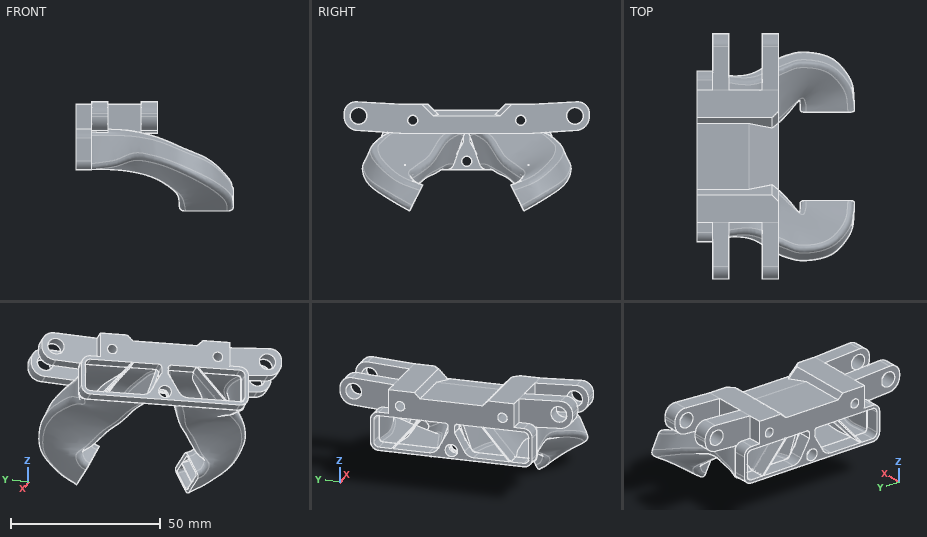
import cadquery as cq
import math

BODY_LENGTH = 27.3
BODY_HALF_WIDTH = 22.1
BODY_TOP = 22.0
BODY_BOTTOM = 12.2
BODY_HOLE_DIAMETER = 3.3
BODY_HOLE_Y = 18.0
BODY_HOLE_Z = 16.6

TROUGH_FLOOR_Z = 20.0
TROUGH_FLOOR_HALF_WIDTH = 11.0
TROUGH_SLOPE_START = 17.4
TROUGH_SLOPE_ANGLE = 11.0
TROUGH_FLARE_START = 25.2

LUG_THICKNESS = 5.5
LUG_STARTS = (5.25, BODY_LENGTH - LUG_THICKNESS)
LUG_HALF_SPAN = 41.0
LUG_TOP = 22.8
LUG_BOTTOM = 13.1
LUG_TOP_RADIUS = 4.0
LUG_BOTTOM_RADIUS = 4.75
LUG_HOLE_DIAMETER = 5.5
LUG_HOLE_Y = 36.2
LUG_HOLE_Z = 18.0

FLANGE_THICKNESS = 5.25
FLANGE_HALF_WIDTH = 28.5
FLANGE_HEIGHT = 13.6
FLANGE_CORNER_RADIUS = 3.0
WALL = 1.2
WINDOW_INNER_Y = 1.15
WINDOW_SLANT_TOP_Z = 9.35
WINDOW_SLANT_BOTTOM_Y = 5.7
WINDOW_SLANT_RADIUS = 3.7
WINDOW_INNER_RADIUS = 1.0
BOLT_Z = 2.9
BOLT_DIAMETER = 3.3
BOLT_COUNTERBORE_DIAMETER = 4.3
BOLT_COUNTERBORE_DEPTH = 4.1

DUCT_SECTIONS = (
    ((5.25, 0.25, 13.5), (5.25, 28.2, 13.5), (5.25, 28.2, 0.1), (5.25, 4.9, 0.1)),
    ((13.1, 2.5, 13.5), (13.1, 26.2, 13.5), (13.1, 27.1, 1.2), (13.1, 7.4, -0.2)),
    ((21.3, 6.6, 10.7), (19.7, 26.2, 13.1), (19.7, 28.7, 3.7), (21.3, 9.8, -1.6)),
    ((27.3, 10.7, 4.1), (27.3, 28.95, 11.5), (27.3, 33.45, 2.6), (27.3, 13.9, -3.8)),
    ((31.2, 14.8, 0.8), (35.3, 31.5, 8.3), (36.1, 35.5, -0.6), (32, 17.6, -7.0)),
    ((33.9, 18, -1.6), (44.8, 29.5, 4.1), (45.5, 33.1, -5.2), (33.9, 21.3, -9.4)),
    ((34.4, 16.8, -3.9), (51.0, 23, -1.6), (51.5, 26.2, -9.7), (34.4, 20.9, -12.3)),
    ((34.5, 14.7, -5.1), (52.7, 14.7, -5.1), (52.7, 19.1, -13.8), (34.5, 19.1, -13.8)),
)
DUCT_CORNER_RADIUS = 2.05
PASSAGE_CORNER_RADIUS = DUCT_CORNER_RADIUS - WALL
STEPS_PER_SECTION = 2

VANE_THICKNESS = 0.6
VANE_TOP_FRACTIONS = (0.35, 0.4, 0.5, 0.5, 0.5, 0.5, 0.5, 0.5)
VANE_BOTTOM_FRACTIONS = (0.72, 0.65, 0.55, 0.5, 0.5, 0.5, 0.5, 0.5)


def extruded_along_x(points, start, length):
    return cq.Workplane("YZ", origin=(start, 0, 0)).polyline(points).close().extrude(length)


def cylinder_along_x(y, z, diameter, length):
    return cq.Workplane("YZ").center(y, z).circle(diameter / 2).extrude(length)


def make_trough():
    slope = math.tan(math.radians(TROUGH_SLOPE_ANGLE))
    floor_end_z = TROUGH_FLOOR_Z - slope * (BODY_LENGTH - TROUGH_SLOPE_START)

    def side_profile(flare):
        half_width_at_top = TROUGH_FLOOR_HALF_WIDTH + BODY_TOP - TROUGH_FLOOR_Z + flare
        half_width_at_depth = half_width_at_top - (BODY_TOP - floor_end_z)
        return [
            (0, BODY_TOP),
            (half_width_at_top, BODY_TOP),
            (half_width_at_depth, floor_end_z),
            (0, floor_end_z),
        ]

    flare_length = BODY_LENGTH - TROUGH_FLARE_START
    straight = extruded_along_x(side_profile(0), 0, TROUGH_FLARE_START)
    flared = (
        cq.Workplane("YZ", origin=(TROUGH_FLARE_START, 0, 0))
        .polyline(side_profile(0))
        .close()
        .workplane(offset=flare_length)
        .polyline(side_profile(flare_length))
        .close()
        .loft(ruled=True)
    )
    above_floor = (
        cq.Workplane("XZ")
        .polyline([
            (0, BODY_TOP),
            (0, TROUGH_FLOOR_Z),
            (TROUGH_SLOPE_START, TROUGH_FLOOR_Z),
            (BODY_LENGTH, floor_end_z),
            (BODY_LENGTH, BODY_TOP),
        ])
        .close()
        .extrude(-BODY_HALF_WIDTH)
    )
    return straight.union(flared).intersect(above_floor)


def make_body():
    height = BODY_TOP - BODY_BOTTOM
    block = cq.Workplane("XY").box(BODY_LENGTH, BODY_HALF_WIDTH, height, centered=False)
    return block.translate((0, 0, BODY_BOTTOM)).cut(make_trough())


def make_lug(start):
    """One lug on the +Y side, slightly lower at the root along both long edges."""
    outline = [
        (BODY_HALF_WIDTH, BODY_BOTTOM),
        (LUG_HOLE_Y, LUG_BOTTOM),
        (LUG_HALF_SPAN, LUG_BOTTOM),
        (LUG_HALF_SPAN, LUG_TOP),
        (LUG_HALF_SPAN - LUG_TOP_RADIUS, LUG_TOP),
        (BODY_HALF_WIDTH, BODY_TOP),
    ]
    lug = extruded_along_x(outline, start, LUG_THICKNESS)
    lug = lug.edges("|X and >Y and >Z").fillet(LUG_TOP_RADIUS)
    return lug.edges("|X and >Y").edges("<Z").fillet(LUG_BOTTOM_RADIUS)


def make_flange():
    flange = cq.Workplane("XY").box(FLANGE_THICKNESS, FLANGE_HALF_WIDTH, FLANGE_HEIGHT, centered=False)
    return flange.edges("|X and >Y").fillet(FLANGE_CORNER_RADIUS)


def make_window():
    """Inlet opening on the +Y side, slanted on its inner side to clear the bolt."""
    outer_y = FLANGE_HALF_WIDTH - WALL
    top_z = FLANGE_HEIGHT - WALL
    window = extruded_along_x(
        [
            (WINDOW_INNER_Y, top_z),
            (outer_y, top_z),
            (outer_y, WALL),
            (WINDOW_SLANT_BOTTOM_Y, WALL),
            (WINDOW_INNER_Y, WINDOW_SLANT_TOP_Z),
        ],
        0,
        FLANGE_THICKNESS,
    )
    window = window.edges("|X and >Y").fillet(FLANGE_CORNER_RADIUS - WALL)
    slant_bottom = cq.selectors.NearestToPointSelector((FLANGE_THICKNESS / 2, WINDOW_SLANT_BOTTOM_Y, WALL))
    window = window.edges("|X").edges(slant_bottom).fillet(WINDOW_SLANT_RADIUS)
    inner_top = cq.selectors.NearestToPointSelector((FLANGE_THICKNESS / 2, WINDOW_INNER_Y, top_z))
    return window.edges("|X").edges(inner_top).fillet(WINDOW_INNER_RADIUS)


def inset(corners, distance):
    """Move every corner inwards along both of its edges."""
    moved = []
    for index, corner in enumerate(corners):
        to_previous = (corners[index - 1] - corner).normalized()
        to_next = (corners[(index + 1) % len(corners)] - corner).normalized()
        moved.append(corner + (to_previous + to_next) * distance)
    return moved


def rounded_wire(corners, radius):
    """Closed outline through four corners, each rounded by a tangent curve."""
    edges = []
    for index, corner in enumerate(corners):
        previous_corner = corners[index - 1]
        next_corner = corners[(index + 1) % len(corners)]
        to_previous = (previous_corner - corner).normalized()
        to_next = (next_corner - corner).normalized()
        arc_start = corner + to_previous * radius
        arc_end = corner + to_next * radius
        next_arc_start = next_corner - to_next * radius
        edges.append(cq.Edge.makeBezier([arc_start, corner, arc_end]))
        edges.append(cq.Edge.makeLine(arc_end, next_arc_start))
    return cq.Wire.assembleEdges(edges)


def between(values, position):
    """Point on the smooth curve that passes through evenly numbered values (Catmull-Rom)."""
    last = len(values) - 1
    start = min(int(position), last - 1)
    t = position - start
    before = values[max(start - 1, 0)]
    here = values[start]
    there = values[start + 1]
    after = values[min(start + 2, last)]
    bend = (before * 2 - here * 5 + there * 4 - after) * t**2 + (here * 3 - before - there * 3 + after) * t**3
    return here + ((there - before) * t + bend) * 0.5


def duct_stations():
    steps = (len(DUCT_SECTIONS) - 1) * STEPS_PER_SECTION
    return [step / STEPS_PER_SECTION for step in range(steps + 1)]


def duct_corners(station):
    """The four corners of the duct at a station; whole stations are the listed sections."""
    rails = zip(*DUCT_SECTIONS)
    return [between([cq.Vector(*point) for point in rail], station) for rail in rails]


def duct_loft(wall_inset, corner_radius):
    wires = [
        rounded_wire(inset(duct_corners(station), wall_inset), corner_radius)
        for station in duct_stations()
    ]
    return cq.Workplane(cq.Solid.makeLoft(wires))


def make_vane():
    """Thin twisting wall that splits the duct from the inlet face to the nozzle."""
    wires = []
    for station in duct_stations():
        inner_top, outer_top, outer_bottom, inner_bottom = duct_corners(station)
        top = inner_top + (outer_top - inner_top) * between(VANE_TOP_FRACTIONS, station)
        bottom = inner_bottom + (outer_bottom - inner_bottom) * between(VANE_BOTTOM_FRACTIONS, station)
        half_step = (outer_top - inner_top).normalized() * (VANE_THICKNESS / 2)
        corners = [top - half_step, top + half_step, bottom + half_step, bottom - half_step]
        wires.append(cq.Wire.makePolygon(corners, close=True))
    inlet_face = cq.Face.makeFromWires(wires[0])
    inlet_plate = cq.Solid.extrudeLinear(inlet_face, cq.Vector(-FLANGE_THICKNESS, 0, 0))
    return cq.Workplane(inlet_plate).union(cq.Workplane(cq.Solid.makeLoft(wires)))


def make_airway():
    """The hollow of one side: window and duct passage, split by the vane."""
    passage = duct_loft(WALL, PASSAGE_CORNER_RADIUS)
    return make_window().union(passage).cut(make_vane())


def make_bolt_hole():
    hole = cylinder_along_x(0, BOLT_Z, BOLT_DIAMETER, FLANGE_THICKNESS)
    counterbore = cylinder_along_x(0, BOLT_Z, BOLT_COUNTERBORE_DIAMETER, BOLT_COUNTERBORE_DEPTH)
    return hole.union(counterbore)


half = make_body().union(make_flange())
for lug_start in LUG_STARTS:
    half = half.union(make_lug(lug_start))
half = half.union(duct_loft(0, DUCT_CORNER_RADIUS))
half = half.cut(make_airway())
half = half.cut(make_bolt_hole())
half = half.cut(cylinder_along_x(BODY_HOLE_Y, BODY_HOLE_Z, BODY_HOLE_DIAMETER, BODY_LENGTH))
half = half.cut(cylinder_along_x(LUG_HOLE_Y, LUG_HOLE_Z, LUG_HOLE_DIAMETER, BODY_LENGTH))

result = half.union(half.mirror("XZ"))